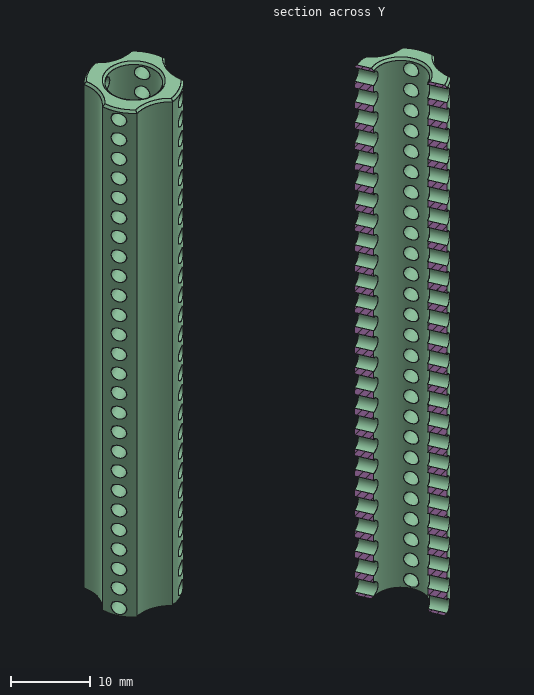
import cadquery as cq
import math

LENGTH = 81.25
OUTER_DIAMETER = 12.5
BORE_DIAMETER = 7.2

LOBE_COUNT = 4
LOBE_WIDTH = 4.55
FLUTE_FLOOR_RADIUS = 5.0

HOLE_DIAMETER = 2.0
HOLE_ROWS = 26
HOLE_PITCH = LENGTH / HOLE_ROWS

END_CHAMFER = 0.3

outer_radius = OUTER_DIAMETER / 2
half_angle = math.pi / LOBE_COUNT - math.asin(LOBE_WIDTH / OUTER_DIAMETER)
flute_half_chord = outer_radius * math.sin(half_angle)
flute_depth = outer_radius * math.cos(half_angle) - FLUTE_FLOOR_RADIUS
flute_radius = (flute_half_chord**2 + flute_depth**2) / (2 * flute_depth)
flute_center_distance = FLUTE_FLOOR_RADIUS + flute_radius


def fluted_tube():
    """Round bar with concave flutes on the diagonals and a central bore, chamfered at both ends."""
    bar = cq.Workplane("XY").circle(outer_radius).extrude(LENGTH)
    flutes = (
        cq.Workplane("XY")
        .polarArray(flute_center_distance, 180 / LOBE_COUNT, 360, LOBE_COUNT)
        .circle(flute_radius)
        .extrude(LENGTH)
    )
    bore = cq.Workplane("XY").circle(BORE_DIAMETER / 2).extrude(LENGTH)
    tube = bar.cut(flutes).cut(bore)
    return tube.faces("<Z or >Z").edges().chamfer(END_CHAMFER)


def cross_holes(plane):
    """One column of holes running along the tube, through both opposite lobes."""
    centers = [(0, (row + 0.5) * HOLE_PITCH) for row in range(HOLE_ROWS)]
    return (
        cq.Workplane(plane)
        .pushPoints(centers)
        .circle(HOLE_DIAMETER / 2)
        .extrude(outer_radius, both=True)
    )


result = fluted_tube()
for hole_plane in ("XZ", "YZ"):
    result = result.cut(cross_holes(hole_plane))